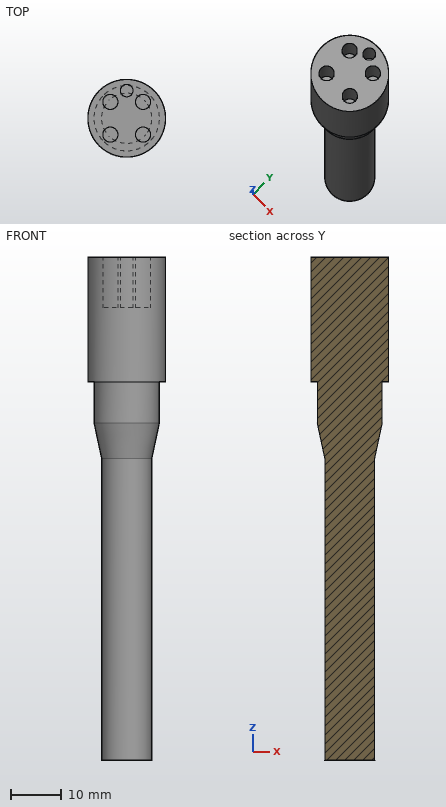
import cadquery as cq

total_length = 100.0
sleeve_length = 24.8
collar_length = 8.2
taper_length = 7.0

sleeve_diameter = 15.5
collar_diameter = 13.0
cable_diameter = 10.0

socket_diameter = 3.0
socket_spacing = 6.5
key_diameter = 2.5
key_offset = 5.5
hole_depth = 10.0

sleeve_bottom = total_length - sleeve_length
collar_bottom = sleeve_bottom - collar_length
taper_bottom = collar_bottom - taper_length


def make_body():
    """Revolve the stepped half-profile of cable, taper, collar and sleeve."""
    profile = [
        (0, 0),
        (cable_diameter / 2, 0),
        (cable_diameter / 2, taper_bottom),
        (collar_diameter / 2, collar_bottom),
        (collar_diameter / 2, sleeve_bottom),
        (sleeve_diameter / 2, sleeve_bottom),
        (sleeve_diameter / 2, total_length),
        (0, total_length),
    ]
    return cq.Workplane("XZ").polyline(profile).close().revolve(360, (0, 0), (0, 1))


def drill_mating_face(body):
    """Drill four sockets in a square and one keying hole on the +Y side."""
    drilled = (
        body.faces(">Z").workplane()
        .rect(socket_spacing, socket_spacing, forConstruction=True)
        .vertices().hole(socket_diameter, hole_depth)
    )
    return (
        drilled.faces(">Z").workplane(origin=(0, 0, total_length))
        .center(0, key_offset).hole(key_diameter, hole_depth)
    )


result = drill_mating_face(make_body())